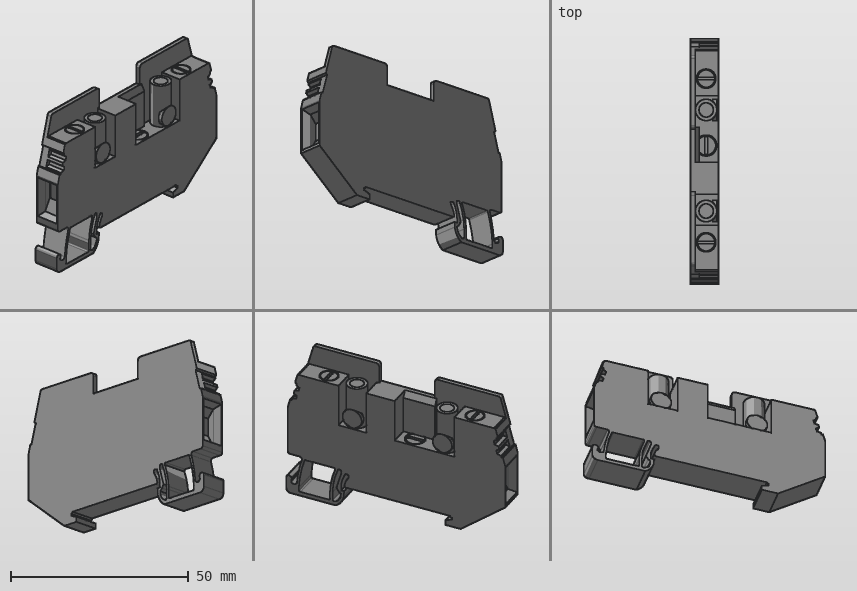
import cadquery as cq

thickness = 7.9
height = 46.53
half_length = 34.25
foot_reach = 34.75
wall_thickness = 1.4
shelf_z = 40.15

wall_half_gap = 8.73
wall_top_half = 29.4
wall_inner_radius = 1.1
wall_outer_radius = 0.8
lip_half = 31.95
lip_z = 37.4
grip_top_half = 31.45
grip_top_z = 36.95
grip_bottom_half = 33.1
grip_bottom_z = 31.1
shoulder_half = 33.55
side_top_z = 28.5
diagonal_top_z = 14.7
rail_z = 6.88
body_bottom_z = 13.0
corner_radius = 0.75
shelf_chamfer_run = 0.42
shelf_chamfer_drop = 0.2

hook_z = 3.49
hook_outer_y = 20.22
hook_tip_y = 15.44
hook_tip_z = 5.05
hook_root_y = 17.41
hook_root_z = 5.78
hook_fillet = 0.5

foot_corner_radius = 1.5
latch_y = -16.5
latch_z = 5.5
foot_start_y = -19.1
window_top_z = 12.34
window_bottom_z = 1.33
window_radius = 0.4
window_top_y = -19.4
window_inner_y = -20.95
window_outer_y = -30.75
finger_root_y = -17.39
finger_opening_y = -20.1

grip_slot_x = 2.45
grip_slot_tops = (36.5, 33.6)
grip_slot_height = 2.05
grip_slot_depth = 1.15
grip_slot_roof_drop = 0.75
grip_slot_floor_rise = 0.3

funnel_mouth = (0.45, 7.43, 15.6, 27.96)
funnel_throat = (0.77, 7.1, 16.07, 27.07)
clamp_window = (1.1, 7.1, 19.56, 24.8)
throat_depth = 2.8
window_depth = 4.8
clamp_length = 6.0

pocket_floor_z = 27.0
pocket_outer_y = 18.25
switch_pocket_end_y = -0.55
rear_pocket_end_y = -9.5
ledge_end_y = 9.4
ledge_width = 1.1
ledge_drop = 2.0

socket_radius = 3.02
axis_x = wall_thickness + socket_radius
socket_y = 14.2
socket_bore_radius = 2.02
socket_boss_start_x = 6.2
clamp_screw_y = 23.0
clamp_screw_radius = 2.45
clamp_screw_slot = 0.75
middle_screw_y = 4.2
middle_screw_radius = 2.7
middle_screw_slot = 0.9
middle_screw_slot_length = 4.8
screw_length = 8.0
screw_slot_depth = 1.0
screw_gap = 0.26

ENDS = (1, -1)
pick_margin = 0.01


def box(x_range, y_range, z_range):
    """Box between the given limits."""
    size = [abs(r[1] - r[0]) for r in (x_range, y_range, z_range)]
    corner = [min(r) for r in (x_range, y_range, z_range)]
    return cq.Workplane("XY").box(*size, centered=False).translate(tuple(corner))


def side_outline():
    """Outline of the side in the YZ plane, from the hook along the underside and back over the top."""
    hook = (
        cq.Workplane("YZ")
        .moveTo(hook_outer_y, hook_z)
        .lineTo(hook_tip_y, hook_z)
        .lineTo(hook_tip_y, hook_tip_z)
        .lineTo(hook_root_y, hook_root_z)
        .lineTo(hook_root_y, rail_z - hook_fillet)
        .radiusArc((hook_root_y - hook_fillet, rail_z), hook_fillet)
    )
    latch = (
        hook.lineTo(-15.8, rail_z)
        .threePointArc((-16.25, 6.98), (-16.4, 7.4))
        .lineTo(-16.04, 8.83)
        .lineTo(-15.15, 10.4)
        .threePointArc((-15.5, 11.37), (-16.25, 11.03))
        .threePointArc((-17.2, 8.5), (-17.44, latch_z))
        .lineTo(latch_y, latch_z)
        .lineTo(latch_y - 0.05, 4.0)
        .threePointArc((-17.2, 2.0), (foot_start_y, 0))
    )
    foot = (
        latch.lineTo(-foot_reach + foot_corner_radius, 0)
        .radiusArc((-foot_reach, foot_corner_radius), foot_corner_radius)
        .lineTo(-foot_reach, 5.0)
        .threePointArc((-33.85, 5.78), (-32.98, 5.0))
        .lineTo(-33.2, 4.1)
        .threePointArc((-32.21, 3.37), (-31.36, 4.11))
        .threePointArc((-30.85, 7.8), (-29.86, 12.0))
        .threePointArc((-29.9, 12.6), (-30.4, body_bottom_z))
    )
    near_end = (
        foot.lineTo(-half_length + corner_radius, body_bottom_z)
        .radiusArc((-half_length, body_bottom_z + corner_radius), corner_radius)
        .lineTo(-half_length, side_top_z)
        .lineTo(-shoulder_half, grip_bottom_z)
        .lineTo(-grip_bottom_half, grip_bottom_z)
        .lineTo(-grip_top_half, grip_top_z)
        .lineTo(-lip_half, lip_z)
        .lineTo(-wall_top_half, height)
    )
    return (
        near_end.lineTo(-wall_half_gap, height)
        .lineTo(-wall_half_gap, shelf_z)
        .lineTo(wall_half_gap, shelf_z)
        .lineTo(wall_half_gap, height)
        .lineTo(wall_top_half, height)
        .lineTo(lip_half, lip_z)
        .lineTo(grip_top_half, grip_top_z)
        .lineTo(grip_bottom_half, grip_bottom_z)
        .lineTo(shoulder_half, grip_bottom_z)
        .lineTo(half_length, side_top_z)
        .lineTo(half_length, diagonal_top_z)
        .close()
    )


def wall_corner_edges(body, half_y):
    """Edges of the upper corners of both marker walls at the given distance from the middle."""
    corner_boxes = []
    for end in ENDS:
        corner_boxes.append(cq.selectors.BoxSelector(
            (0, end * half_y - pick_margin, height - pick_margin),
            (thickness, end * half_y + pick_margin, height + pick_margin),
        ))
    return body.edges(corner_boxes[0] + corner_boxes[1])


def foot_openings():
    """The narrow opening behind the latch finger and the large window between the two springs."""
    finger_opening = (
        cq.Workplane("YZ")
        .moveTo(finger_root_y, 11.8)
        .threePointArc((-17.9, 12.34), (-18.47, 11.91))
        .threePointArc((-19.6, 8.4), (finger_opening_y, 4.4))
        .lineTo(finger_opening_y, 1.7)
        .threePointArc((-19.9, 1.35), (-19.4, 1.25))
        .threePointArc((-18.2, 2.2), (-17.56, 4.3))
        .lineTo(-18.31, 5.09)
        .lineTo(-18.89, 6.07)
        .lineTo(finger_root_y, 11.1)
        .close()
        .extrude(thickness)
    )
    window = (
        cq.Workplane("YZ")
        .moveTo(window_top_y, window_top_z)
        .lineTo(-28.9, window_top_z)
        .threePointArc((-30.15, 7.6), (window_outer_y, 2.8))
        .lineTo(window_outer_y, window_bottom_z)
        .lineTo(window_inner_y, window_bottom_z)
        .lineTo(window_inner_y, 4.0)
        .lineTo(-20.9, 4.95)
        .threePointArc((-20.4, 8.4), (window_top_y, 11.7))
        .close()
        .extrude(thickness)
        .edges("|X")
        .edges("<Z or >Z")
        .fillet(window_radius)
    )
    return finger_opening.union(window)


def grip_slots(end):
    """Slots in the sloping end face, narrowing to a back parallel to that face and open to the +X side."""
    lean = (grip_bottom_half - grip_top_half) / (grip_top_z - grip_bottom_z)

    def slope_point(z, depth):
        face_y = grip_top_half + (grip_top_z - z) * lean
        return (end * (face_y - depth), z)

    slots = cq.Workplane("XY")
    for top_z in grip_slot_tops:
        bottom_z = top_z - grip_slot_height
        slot = (
            cq.Workplane("YZ", origin=(grip_slot_x, 0, 0))
            .moveTo(*slope_point(top_z, 0))
            .lineTo(*slope_point(top_z - grip_slot_roof_drop, grip_slot_depth))
            .lineTo(*slope_point(bottom_z + grip_slot_floor_rise, grip_slot_depth))
            .lineTo(*slope_point(bottom_z, 0))
            .close()
            .extrude(thickness)
        )
        slots = slots.add(slot)
    return slots.combine()


def funnel_step(end, outer, inner, start, depth):
    """Tapered stretch of the wire funnel, from one rectangle to the next."""
    rectangles = []
    for (x0, x1, z0, z1), inset in ((outer, start), (inner, start + depth)):
        y = end * (half_length - inset)
        corners = [cq.Vector(*p) for p in ((x0, y, z0), (x1, y, z0), (x1, y, z1), (x0, y, z1))]
        rectangles.append(cq.Wire.makePolygon(corners, close=True))
    return cq.Workplane(cq.Solid.makeLoft(rectangles, True))


def make_clamp(end):
    """Wire clamp block behind the funnel."""
    x0, x1, z0, z1 = clamp_window
    front = end * (half_length - window_depth)
    return box((x0, x1), (front, front - end * clamp_length), (z0, z1))


def wire_funnel(end):
    """Funnel that narrows in two steps down to the clamp window."""
    throat = funnel_step(end, funnel_mouth, funnel_throat, 0, throat_depth)
    ramp_end = funnel_throat[:2] + clamp_window[2:]
    ramp = funnel_step(end, funnel_throat, ramp_end, throat_depth, window_depth - throat_depth)
    return throat.union(ramp)


def shelf_end_bevel(end):
    """Wedge removed from the end edge of the shelf."""
    lean = (lip_half - wall_top_half) / (height - lip_z)
    edge_y = wall_top_half + (height - shelf_z) * lean
    return (
        cq.Workplane("YZ", origin=(wall_thickness, 0, 0))
        .moveTo(end * (edge_y - shelf_chamfer_run), shelf_z)
        .lineTo(end * half_length, shelf_z)
        .lineTo(end * (edge_y + shelf_chamfer_drop * lean), shelf_z - shelf_chamfer_drop)
        .close()
        .extrude(thickness)
    )


def pocket(y_range):
    """Pocket in the shelf beside the marker wall, open to the +X side."""
    return box((wall_thickness, thickness), y_range, (pocket_floor_z, shelf_z))


def pocket_ledge():
    """Ledge with a sloping top along the marker wall, beside the middle screw."""
    return (
        cq.Workplane("XZ", origin=(0, ledge_end_y, 0))
        .moveTo(wall_thickness, shelf_z)
        .lineTo(wall_thickness + ledge_width, shelf_z - ledge_drop)
        .lineTo(wall_thickness + ledge_width, pocket_floor_z)
        .lineTo(wall_thickness, pocket_floor_z)
        .close()
        .extrude(ledge_end_y - switch_pocket_end_y)
    )


def screw_cylinder(y, top_z, radius):
    """Upright cylinder that hangs down from the given height."""
    bottom = cq.Workplane("XY", origin=(axis_x, y, top_z - screw_length))
    return bottom.circle(radius).extrude(screw_length)


def make_screw(y, top_z, radius, slot_x, slot_y):
    """Screw with a slot of the given size across its head."""
    slot = cq.Workplane("XY", origin=(axis_x, y, top_z - screw_slot_depth))
    return screw_cylinder(y, top_z, radius).cut(slot.rect(slot_x, slot_y).extrude(screw_slot_depth))


def screw_hole(y, top_z, radius):
    """Hole that leaves a ring-shaped gap around a screw of the given radius."""
    return screw_cylinder(y, top_z, radius + screw_gap)


def socket_cylinder(y, radius):
    """Upright cylinder from the pocket floor to the shelf level."""
    base = cq.Workplane("XY", origin=(axis_x, y, pocket_floor_z))
    return base.circle(radius).extrude(shelf_z - pocket_floor_z)


def make_socket(y):
    """Upright test socket with a round boss lying along X on its +X side."""
    boss = (
        cq.Workplane("YZ", origin=(socket_boss_start_x, y, pocket_floor_z + socket_radius))
        .circle(socket_radius)
        .extrude(axis_x + socket_radius - socket_boss_start_x)
    )
    sleeve = socket_cylinder(y, socket_radius).union(boss)
    return sleeve.cut(socket_cylinder(y, socket_bore_radius))


def make_plug(y):
    """Round plug that fills the bore of a test socket."""
    return socket_cylinder(y, socket_bore_radius)


def make_housing():
    """Housing with marker walls, rail foot, pockets and the recesses for the metal parts."""
    body = side_outline().extrude(thickness)
    body = wall_corner_edges(body, wall_half_gap).fillet(wall_inner_radius)
    body = wall_corner_edges(body, wall_top_half).fillet(wall_outer_radius)
    body = body.cut(foot_openings())
    body = body.cut(box((wall_thickness, thickness), (-half_length, half_length), (shelf_z, height)))
    for end in ENDS:
        body = body.cut(shelf_end_bevel(end))
    body = body.cut(pocket((switch_pocket_end_y, pocket_outer_y)))
    body = body.cut(pocket((-pocket_outer_y, rear_pocket_end_y)))
    body = body.cut(screw_hole(middle_screw_y, pocket_floor_z, middle_screw_radius))
    body = body.union(pocket_ledge())
    for end in ENDS:
        body = body.cut(grip_slots(end))
        body = body.cut(wire_funnel(end))
        body = body.cut(make_clamp(end))
        body = body.cut(screw_hole(end * clamp_screw_y, shelf_z, clamp_screw_radius))
    return body


housing = make_housing()
middle_screw = make_screw(
    middle_screw_y, pocket_floor_z, middle_screw_radius, middle_screw_slot, middle_screw_slot_length
)
bodies = [housing.val(), middle_screw.val()]
for end in ENDS:
    clamp_screw = make_screw(
        end * clamp_screw_y, shelf_z, clamp_screw_radius, 2 * clamp_screw_radius, clamp_screw_slot
    )
    bodies.append(clamp_screw.val())
    bodies.append(make_socket(end * socket_y).val())
    bodies.append(make_plug(end * socket_y).val())
    bodies.append(make_clamp(end).val())

result = cq.Compound.makeCompound(bodies)